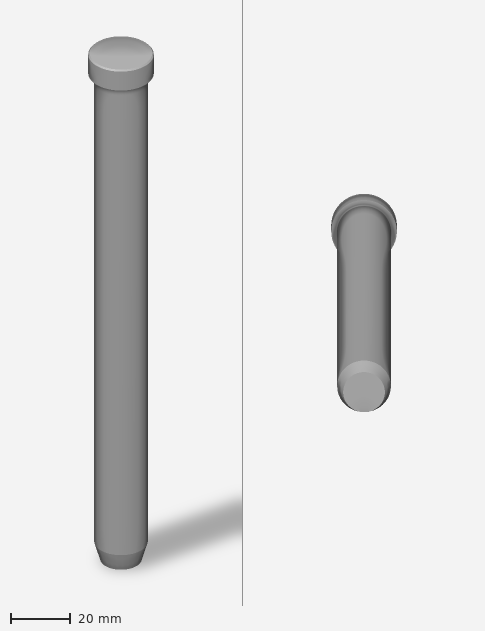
import cadquery as cq

length = 200.0

head_diameter = 22.0
head_height = 8.0
head_chamfer = 0.5

shank_diameter = 18.0
neck_fillet = 0.5
tip_diameter = 14.0
tip_length = 7.0

head_radius = head_diameter / 2
shank_radius = shank_diameter / 2
tip_radius = tip_diameter / 2
head_bottom = length - head_height

fillet_start = (shank_radius, head_bottom - neck_fillet)
fillet_end = (shank_radius + neck_fillet, head_bottom)

profile = (
    cq.Workplane("XZ")
    .lineTo(tip_radius, 0)
    .lineTo(shank_radius, tip_length)
    .lineTo(*fillet_start)
    .radiusArc(fillet_end, neck_fillet)
    .lineTo(head_radius, head_bottom)
    .lineTo(head_radius, length - head_chamfer)
    .lineTo(head_radius - head_chamfer, length)
    .lineTo(0, length)
    .close()
)

result = profile.revolve(360, (0, 0), (0, 1))